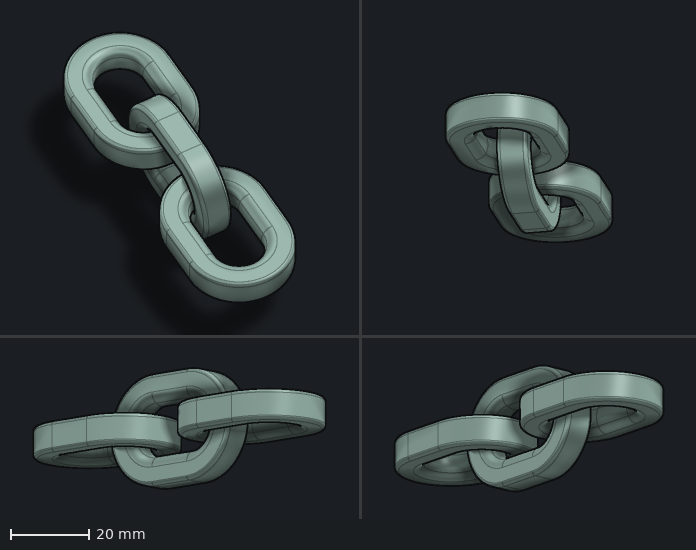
import cadquery as cq
import math

overall_length = 91.0
link_width = 29.0
straight_length = 12.0
thickness = 8.0
opening_width = 13.0
outer_fillet = 1.0
inner_fillet = 3.0
crown_radius = 5.2
link_count = 3

link_length = link_width + straight_length
pitch = (overall_length - link_length) / (link_count - 1)
half_thickness = thickness / 2
outer_radius = link_width / 2
inner_radius = opening_width / 2


def link_section():
    """Cross section of one long side, drawn across the link (YZ plane).

    The side facing the opening is a shallow crown blended into the flat faces by tangent fillets.
    """
    crown_centre_y = inner_radius + crown_radius
    fillet_centre_z = half_thickness - inner_fillet
    blend_angle = math.asin(fillet_centre_z / (crown_radius - inner_fillet))
    fillet_centre_y = crown_centre_y - (crown_radius - inner_fillet) * math.cos(blend_angle)
    blend_y = crown_centre_y - crown_radius * math.cos(blend_angle)
    blend_z = crown_radius * math.sin(blend_angle)

    return (
        cq.Workplane("YZ")
        .moveTo(blend_y, -blend_z)
        .threePointArc((inner_radius, 0), (blend_y, blend_z))
        .tangentArcPoint((fillet_centre_y, half_thickness), relative=False)
        .lineTo(outer_radius - outer_fillet, half_thickness)
        .tangentArcPoint((outer_radius, half_thickness - outer_fillet), relative=False)
        .lineTo(outer_radius, -half_thickness + outer_fillet)
        .tangentArcPoint((outer_radius - outer_fillet, -half_thickness), relative=False)
        .lineTo(fillet_centre_y, -half_thickness)
        .tangentArcPoint((blend_y, -blend_z), relative=False)
        .close()
    )


def make_link():
    """Oval link centred on the origin, lying flat in the XY plane."""
    half_straight = straight_length / 2
    side = link_section().extrude(half_straight, both=True)
    bend = link_section().revolve(180, (0, 0, 0), (0, 1, 0)).translate((-half_straight, 0, 0))
    half_turn = ((0, 0, 0), (0, 0, 1), 180)
    return side.union(side.rotate(*half_turn)).union(bend).union(bend.rotate(*half_turn))


links = []
for index in range(link_count):
    link_x = (index - (link_count - 1) / 2) * pitch
    quarter_turn = 90 * (index % 2)
    links.append(make_link().rotate((0, 0, 0), (1, 0, 0), quarter_turn).translate((link_x, 0, 0)))

result = cq.Compound.makeCompound([link.solids().val() for link in links])